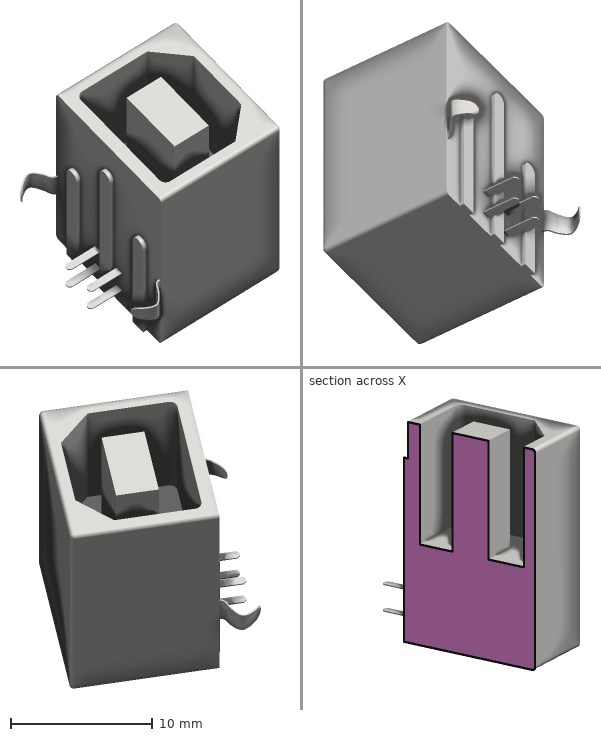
import cadquery as cq
import math


body_width = 12.1
body_depth = 10.74
body_height = 16.6
edge_radius = 0.3

cavity_width = 10.16
cavity_front = 1.03
cavity_back = 9.75
cavity_chamfer = 2.35
cavity_corner_radius = 0.55
cavity_depth = 9.0

tongue_width = 5.52
tongue_front = 3.75
tongue_thickness = 3.07
tongue_recess = 0.09

rib_width = 1.2
rib_projection = 0.35
rib_pitch = 3.82
middle_rib_height = 13.87
side_rib_height = 10.08

pin_width = 0.62
pin_thickness = 0.1
pin_length = 2.82
pin_tip_chamfer = 0.2
pin_pitch = 2.45
pin_levels = (1.58, 3.58)

clip_span = 14.9
clip_reach = 2.89
clip_thickness = 0.12
clip_level = 6.32
clip_root_x = 5.88
clip_root_width = 1.96
clip_taper_start = 0.25
clip_tip_width = 1.04
clip_tip_radius = 0.5
clip_arm_point = (6.65, -0.69)
clip_arm_heading = -34.0
clip_elbow_y = -1.48
clip_tail_point = (7.03, -2.23)
clip_tail_heading = -126.0
clip_end_point = (6.27, -2.95)
clip_end_heading = -140.0
straight_down = -90.0


def make_body():
    """Block with every edge rounded except those of the board-side face."""
    block = cq.Workplane("XY").box(body_width, body_depth, body_height, centered=(True, False, False))
    return block.edges("not <Y").fillet(edge_radius)


def make_cavity():
    """Plug opening: chamfered at the back corners, rounded at the front ones."""
    cavity = (
        cq.Workplane("XY", origin=(0, cavity_front, body_height - cavity_depth))
        .box(cavity_width, cavity_back - cavity_front, cavity_depth, centered=(True, False, False))
    )
    cavity = cavity.edges("|Z and >Y").chamfer(cavity_chamfer)
    return cavity.edges("|Z and <Y").fillet(cavity_corner_radius)


def make_tongue():
    """Tongue rising from the cavity floor to just below the opening."""
    return (
        cq.Workplane("XY", origin=(0, tongue_front, body_height - cavity_depth))
        .box(tongue_width, tongue_thickness, cavity_depth - tongue_recess, centered=(True, False, False))
    )


def make_rib(x, height):
    """Stand-off rib from the bottom end up to a full-round top."""
    radius = rib_width / 2
    shoulder = height - radius
    return (
        cq.Workplane("XZ")
        .moveTo(x - radius, 0)
        .lineTo(x + radius, 0)
        .lineTo(x + radius, shoulder)
        .threePointArc((x, height), (x - radius, shoulder))
        .close()
        .extrude(rib_projection)
    )


def make_pin(x, z):
    """Flat contact pin with a chamfered tip."""
    pin = (
        cq.Workplane("XY", origin=(x, -pin_length / 2, z))
        .box(pin_width, pin_length, pin_thickness)
    )
    return pin.edges("|Z and <Y").chamfer(pin_tip_chamfer)


def clip_stations():
    """Mid-line of the right-hand clip: points with the heading of the strip at each."""
    elbow_x = clip_span / 2 - clip_thickness / 2
    return [
        ((clip_root_x, 0), straight_down),
        (clip_arm_point, clip_arm_heading),
        ((elbow_x, clip_elbow_y), straight_down),
        (clip_tail_point, clip_tail_heading),
        (clip_end_point, clip_end_heading),
    ]


def clip_face(offset):
    """Points and tangents of one clip face, offset outward from the mid-line."""
    points = []
    tangents = []
    for (x, y), heading in clip_stations():
        along_x = math.cos(math.radians(heading))
        along_y = math.sin(math.radians(heading))
        points.append((x - offset * along_y, y + offset * along_x))
        tangents.append((along_x, along_y))
    return points, tangents


def make_clip():
    """Right-hand clip: bent strip trimmed to a tapered tongue with a rounded tip."""
    outer_points, outer_tangents = clip_face(clip_thickness / 2)
    inner_points, inner_tangents = clip_face(-clip_thickness / 2)
    reversed_tangents = [(-x, -y) for x, y in reversed(inner_tangents)]
    strip = (
        cq.Workplane("XY", origin=(0, 0, clip_level - clip_root_width / 2))
        .spline(outer_points, tangents=outer_tangents)
        .lineTo(*inner_points[-1])
        .spline(inner_points[::-1], tangents=reversed_tangents)
        .close()
        .extrude(clip_root_width)
    )
    taper = (
        cq.Workplane("YZ", origin=(0, 0, clip_level))
        .moveTo(0, -clip_root_width / 2)
        .lineTo(0, clip_root_width / 2)
        .lineTo(-clip_taper_start, clip_root_width / 2)
        .lineTo(-clip_reach, clip_tip_width / 2)
        .lineTo(-clip_reach, -clip_tip_width / 2)
        .lineTo(-clip_taper_start, -clip_root_width / 2)
        .close()
        .extrude(clip_span)
        .edges("|X and <Y")
        .fillet(clip_tip_radius)
    )
    return strip.intersect(taper)


result = make_body().cut(make_cavity()).union(make_tongue())

result = result.union(make_rib(0, middle_rib_height))
for side in (-1, 1):
    result = result.union(make_rib(side * rib_pitch, side_rib_height))
    for level in pin_levels:
        result = result.union(make_pin(side * pin_pitch / 2, level))

clip = make_clip()
result = result.union(clip).union(clip.mirror("YZ"))